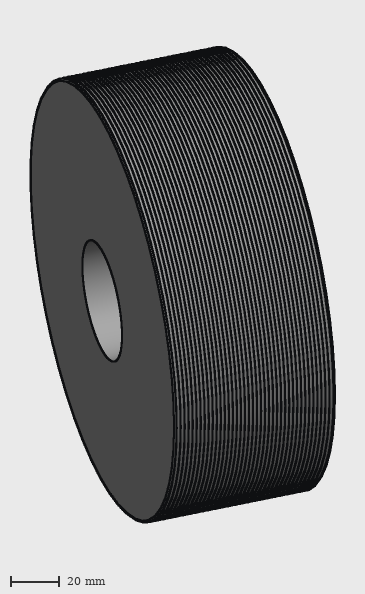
import cadquery as cq
import math

outer_diameter = 186.55
width = 70.0
bore_diameter = 51.0
ridge_count = 40
groove_radius = 0.85

crest_radius = outer_diameter / 2
bore_radius = bore_diameter / 2
root_radius = crest_radius - groove_radius
ridge_pitch = width / ridge_count
front_end = -width / 2
back_end = width / 2

flank_offset = groove_radius * math.sin(math.pi / 4)


def add_first_half_groove(section):
    """Quarter circle from the front face up to the first ridge."""
    flank_middle = (crest_radius - flank_offset, front_end + flank_offset)
    return section.threePointArc(flank_middle, (crest_radius, front_end + groove_radius))


def add_land_and_groove(section, groove_center):
    """Narrow ridge land followed by a full semicircular groove."""
    section = section.lineTo(crest_radius, groove_center - groove_radius)
    groove_end = (crest_radius, groove_center + groove_radius)
    return section.threePointArc((root_radius, groove_center), groove_end)


def add_last_half_groove(section):
    """Last ridge land and the quarter circle down to the back face."""
    section = section.lineTo(crest_radius, back_end - groove_radius)
    flank_middle = (crest_radius - flank_offset, back_end - flank_offset)
    return section.threePointArc(flank_middle, (root_radius, back_end))


def make_grooved_roller():
    """Revolve the grooved half section about the Y axis."""
    section = cq.Workplane("XY").moveTo(bore_radius, front_end).lineTo(root_radius, front_end)
    section = add_first_half_groove(section)
    for groove in range(1, ridge_count):
        section = add_land_and_groove(section, front_end + groove * ridge_pitch)
    section = add_last_half_groove(section)
    section = section.lineTo(bore_radius, back_end).close()
    return section.revolve(360, (0, 0, 0), (0, 1, 0))


result = make_grooved_roller()